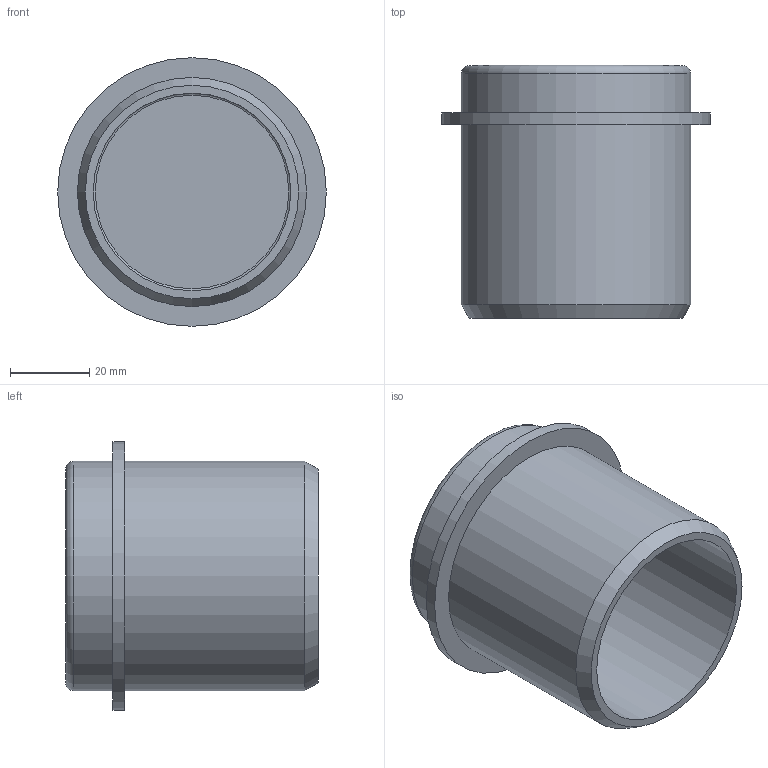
import cadquery as cq
import math

length = 64.0
body_radius = 58.0 / 2
flange_radius = 68.0 / 2
flange_thickness = 3.0
flange_setback = 12.0

lead_in_depth = 2.0
lead_in_angle = 30.0
lead_in_length = lead_in_depth / math.tan(math.radians(lead_in_angle))
closed_end_round = 2.0

bore_radius = 50.0 / 2
bore_fillet = 0.5
floor_thickness = body_radius - bore_radius

open_end = 0.0
closed_end = open_end + length
flange_back = closed_end - flange_setback
flange_front = flange_back - flange_thickness
bore_floor = closed_end - floor_thickness


def revolve_about_y(profile):
    """Turn a closed XY profile a full circle about the Y axis."""
    return profile.revolve(360, (0, 0, 0), (0, 1, 0))


def make_body():
    """Flanged plug with a lead-in chamfer and a rounded closed end."""
    profile = (
        cq.Workplane("XY")
        .moveTo(0, open_end)
        .lineTo(body_radius - lead_in_depth, open_end)
        .lineTo(body_radius, open_end + lead_in_length)
        .lineTo(body_radius, flange_front)
        .lineTo(flange_radius, flange_front)
        .lineTo(flange_radius, flange_back)
        .lineTo(body_radius, flange_back)
        .lineTo(body_radius, closed_end)
        .lineTo(0, closed_end)
        .close()
    )
    return revolve_about_y(profile).faces(">Y").edges().fillet(closed_end_round)


def make_bore():
    """Round-cornered cavity opening at the -Y end."""
    profile = (
        cq.Workplane("XY")
        .moveTo(0, open_end)
        .lineTo(bore_radius, open_end)
        .lineTo(bore_radius, bore_floor)
        .lineTo(0, bore_floor)
        .close()
    )
    return revolve_about_y(profile).faces(">Y").edges().fillet(bore_fillet)


result = make_body().cut(make_bore())